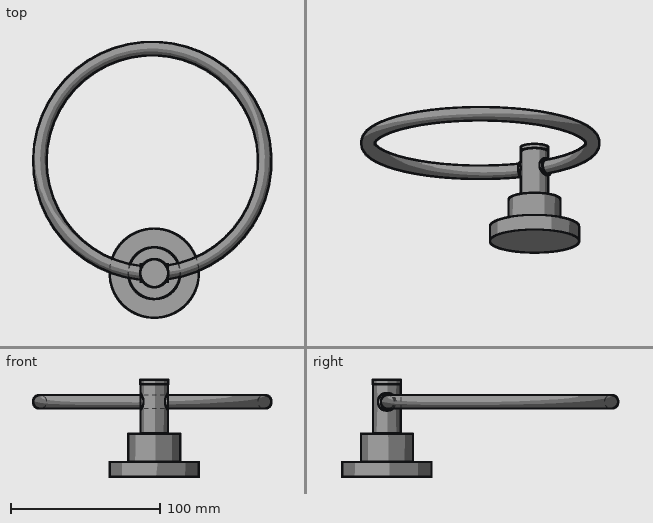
import cadquery as cq

total_height = 65.0
total_depth = 185.0
ring_outer_diameter = 159.8

base_diameter = 60.0
base_height = 10.2
collar_diameter = 35.0
collar_height = 18.9
post_diameter = 18.7
cap_diameter = 19.0
cap_height = 3.1
edge_chamfer = 0.28

rod_diameter = 9.2
ring_height = 50.3
ring_offset_x = -1.3
socket_diameter = 12.0
socket_length = post_diameter

ring_radius = (ring_outer_diameter - rod_diameter) / 2
ring_center_y = total_depth - base_diameter / 2 - ring_outer_diameter / 2


def disc(diameter, bottom, top):
    """Upright cylinder on the Z axis between two heights."""
    return cq.Workplane("XY").workplane(offset=bottom).circle(diameter / 2).extrude(top - bottom)


def make_stand():
    """Base plate, then collar, post and slightly wider cap with small edge chamfers."""
    collar_top = base_height + collar_height
    cap_bottom = total_height - cap_height
    base = disc(base_diameter, 0, base_height)
    collar = disc(collar_diameter, base_height, collar_top).edges().chamfer(edge_chamfer)
    post = disc(post_diameter, collar_top, cap_bottom).faces("<Z").edges().chamfer(edge_chamfer)
    cap = disc(cap_diameter, cap_bottom, total_height).edges().chamfer(edge_chamfer)
    return base.union(collar).union(post).union(cap)


def make_socket():
    """Cross cylinder along X whose flat ends meet the sides of the post."""
    socket = cq.Workplane("YZ").circle(socket_diameter / 2).extrude(socket_length / 2, both=True)
    return socket.translate((0, 0, ring_height))


def make_ring():
    """Complete horizontal ring of round rod."""
    ring = cq.Solid.makeTorus(ring_radius, rod_diameter / 2)
    seam_at_post = cq.Workplane(ring).rotate((0, 0, 0), (0, 0, 1), -90)
    return seam_at_post.translate((ring_offset_x, ring_center_y, ring_height))


result = make_stand().union(make_socket()).union(make_ring())